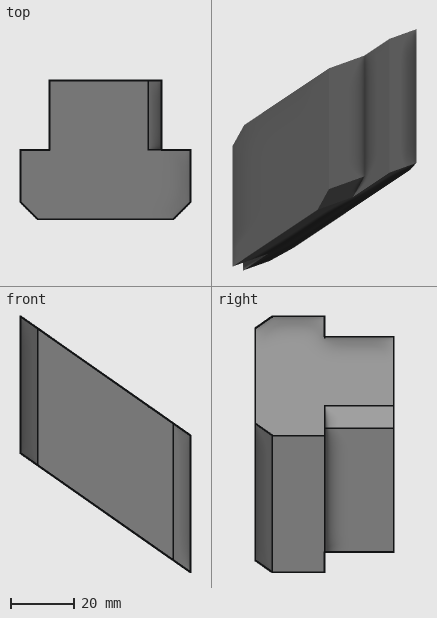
import cadquery as cq
import math

LENGTH = 81.15
BASE_WIDTH = 54.0
DEPTH = 44.0
BASE_DEPTH = 22.0
STEM_WIDTH = 35.5
EDGE_CHAMFER = 5.5
SLOPE = math.tan(math.radians(35))

FLAT_WIDTH = 4.2
FLAT_SIDE = 4.2

SIDE_HEIGHT = LENGTH - BASE_WIDTH * SLOPE
STEM_INSET = (BASE_WIDTH - STEM_WIDTH) / 2


def lower_z(x):
    """Height of the sloping lower end at a given x."""
    return (BASE_WIDTH - x) * SLOPE


def upper_z(x):
    """Height of the sloping upper end at a given x."""
    return lower_z(x) + SIDE_HEIGHT


def extrude_along_y(points, start, end):
    """Prism with an XZ outline, running from y=start to y=end."""
    return cq.Workplane("XZ", origin=(0, start, 0)).polyline(points).close().extrude(start - end)


def make_base():
    """Wide slanted block with its two long front edges bevelled."""
    right = BASE_WIDTH
    slanted = extrude_along_y(
        [(0, lower_z(0)), (right, lower_z(right)), (right, upper_z(right)), (0, upper_z(0))],
        0,
        BASE_DEPTH,
    )
    bevelled = (
        cq.Workplane("XY")
        .polyline([
            (EDGE_CHAMFER, 0),
            (right - EDGE_CHAMFER, 0),
            (right, EDGE_CHAMFER),
            (right, BASE_DEPTH),
            (0, BASE_DEPTH),
            (0, EDGE_CHAMFER),
        ])
        .close()
        .extrude(LENGTH)
    )
    return slanted.intersect(bevelled)


def make_stem():
    """Narrower slanted block with flats across its obtuse corners."""
    left = STEM_INSET
    right = left + STEM_WIDTH
    outline = [
        (left, lower_z(left) + FLAT_SIDE),
        (left + FLAT_WIDTH, lower_z(left + FLAT_WIDTH)),
        (right, lower_z(right)),
        (right, upper_z(right) - FLAT_SIDE),
        (right - FLAT_WIDTH, upper_z(right - FLAT_WIDTH)),
        (left, upper_z(left)),
    ]
    return extrude_along_y(outline, BASE_DEPTH, DEPTH)


result = make_base().union(make_stem())